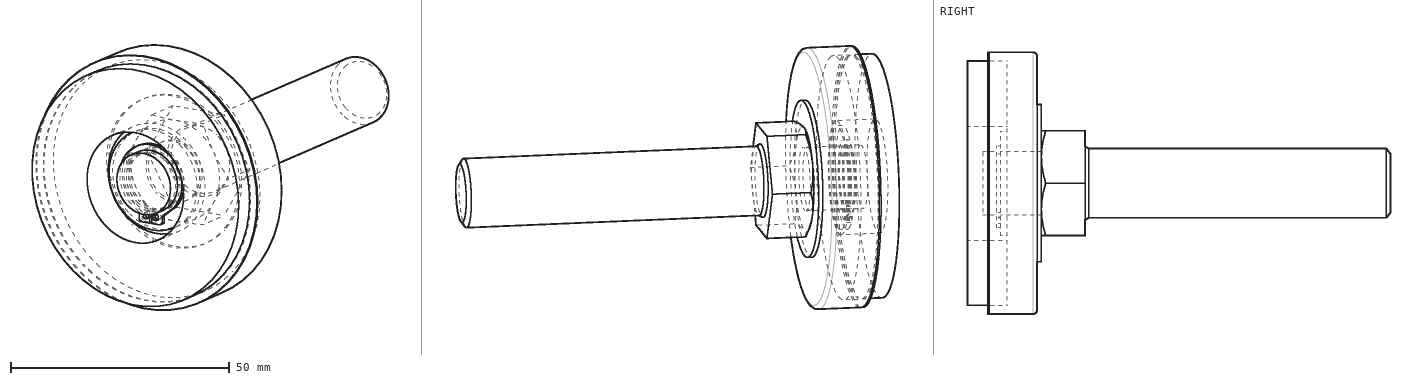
import cadquery as cq
import math

overall_length = 97.0
outer_diameter = 60.0
outer_radius = outer_diameter / 2

foot_radius = 28.0
foot_height = 4.7
flange_thickness = 0.4
bore_radius = 13.1

housing_bottom = foot_height + flange_thickness
housing_top = 16.0
housing_edge_radius = 1.0
recess_floor = 9.0

thrust_washer_radius = 18.0
thrust_washer_thickness = 1.0
hex_bottom = housing_top + thrust_washer_thickness

rod_radius = 8.0
rod_chamfer_height = 1.0
rod_tip_radius = 6.7
hex_across_flats = 24.1
hex_height = 10.0
hex_top = hex_bottom + hex_height
hex_chamfer_height = 1.0
collar_radius = 8.4
collar_height = 0.9
journal_radius = 7.3
journal_end = 3.6
groove_radius = 6.7

retaining_washer_radius = 11.9
retaining_washer_thickness = 1.5
ring_thickness = 1.0
ring_radius = 8.4
ring_offset = 0.2
ring_top = recess_floor - retaining_washer_thickness
ring_bottom = ring_top - ring_thickness
ear_half_width = 3.1
ear_end = 10.1
ear_corner_radius = 0.8
ear_neck_height = 8.0
ear_neck_angle = math.radians(48)
ear_gap = 0.5
ear_hole_radius = 0.8
ear_hole_spacing = 2.6
ear_hole_offset = ear_hole_spacing / 2
ear_hole_drop = 8.4


def disc(radius, start, end):
    """Cylinder about the Y axis from Y = start to Y = end."""
    return cq.Workplane("XZ", origin=(0, start, 0)).circle(radius).extrude(start - end)


def annulus(radius, hole_radius, start, end):
    return disc(radius, start, end).cut(disc(hole_radius, start, end))


def make_pad():
    """Pad whose core fills the housing recess and whose flange covers the housing rim."""
    core = disc(foot_radius, 0, recess_floor)
    flange = disc(outer_radius, foot_height, housing_bottom)
    return core.union(flange).cut(disc(bore_radius, 0, recess_floor))


def make_housing():
    body = disc(outer_radius, housing_bottom, housing_top).faces(">Y").edges().fillet(housing_edge_radius)
    recess = disc(foot_radius, housing_bottom, recess_floor)
    return body.cut(recess).cut(disc(journal_radius, recess_floor, housing_top))


def make_hexagon():
    """Hexagon with its lower corners turned down to the inscribed circle."""
    flat_radius = hex_across_flats / 2
    corner_radius = flat_radius / math.cos(math.pi / 6)
    hexagon = (
        cq.Workplane("XZ", origin=(0, hex_bottom, 0))
        .polygon(6, 2 * corner_radius)
        .extrude(-hex_height)
    )
    turned_blank = (
        cq.Workplane("XY")
        .moveTo(0, hex_bottom)
        .lineTo(flat_radius, hex_bottom)
        .lineTo(corner_radius, hex_bottom + hex_chamfer_height)
        .lineTo(corner_radius, hex_top)
        .lineTo(0, hex_top)
        .close()
        .revolve(360, (0, 0, 0), (0, 1, 0))
    )
    return hexagon.intersect(turned_blank)


def make_stud():
    shaft = (
        cq.Workplane("XY")
        .moveTo(0, journal_end)
        .lineTo(journal_radius, journal_end)
        .lineTo(journal_radius, ring_bottom)
        .lineTo(groove_radius, ring_bottom)
        .lineTo(groove_radius, ring_top)
        .lineTo(journal_radius, ring_top)
        .lineTo(journal_radius, hex_top)
        .lineTo(collar_radius, hex_top)
        .lineTo(rod_radius, hex_top + collar_height)
        .lineTo(rod_radius, overall_length - rod_chamfer_height)
        .lineTo(rod_tip_radius, overall_length)
        .lineTo(0, overall_length)
        .close()
        .revolve(360, (0, 0, 0), (0, 1, 0))
    )
    return shaft.union(make_hexagon())


def make_snap_ring():
    """Split ring seated in the stud groove, with two drilled ears hanging toward -Z."""
    shoulder_x = ring_radius * math.sin(ear_neck_angle)
    shoulder_z = ring_offset - ring_radius * math.cos(ear_neck_angle)
    plane = cq.Workplane("XZ", origin=(0, ring_bottom, 0))
    blank = (
        plane
        .moveTo(-ear_half_width, -ear_end)
        .lineTo(-ear_half_width, -ear_neck_height)
        .lineTo(-shoulder_x, shoulder_z)
        .threePointArc((0, ring_offset + ring_radius), (shoulder_x, shoulder_z))
        .lineTo(ear_half_width, -ear_neck_height)
        .lineTo(ear_half_width, -ear_end)
        .close()
        .extrude(-ring_thickness)
        .faces("<Z").edges("|Y").fillet(ear_corner_radius)
    )
    gap = plane.center(0, -ear_end / 2).rect(ear_gap, ear_end).extrude(-ring_thickness)
    holes = (
        plane
        .pushPoints([(-ear_hole_offset, -ear_hole_drop), (ear_hole_offset, -ear_hole_drop)])
        .circle(ear_hole_radius)
        .extrude(-ring_thickness)
    )
    opening = disc(groove_radius, ring_bottom, ring_top)
    return blank.cut(opening).cut(gap).cut(holes)


pad = make_pad()
housing = make_housing()
thrust_washer = annulus(thrust_washer_radius, journal_radius, housing_top, hex_bottom)
stud = make_stud()
retaining_washer = annulus(retaining_washer_radius, journal_radius, ring_top, recess_floor)
snap_ring = make_snap_ring()

result = cq.Compound.makeCompound([
    pad.val(),
    housing.val(),
    thrust_washer.val(),
    stud.val(),
    retaining_washer.val(),
    snap_ring.val(),
])